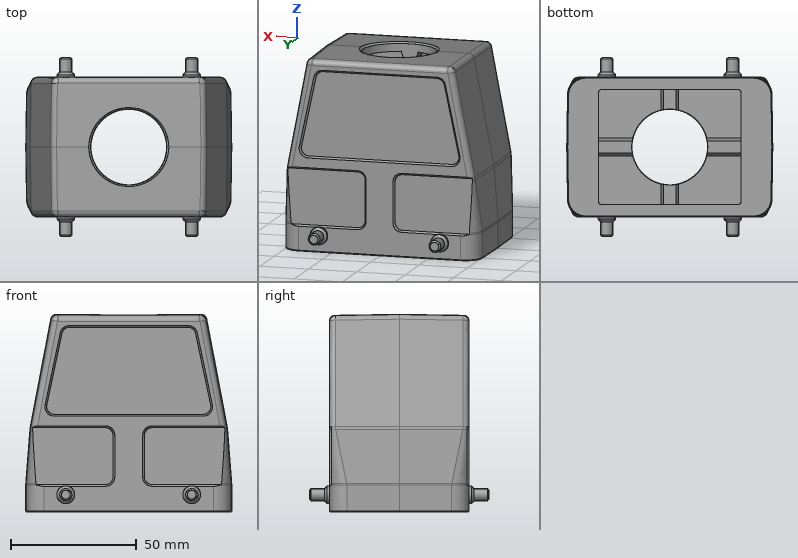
import cadquery as cq
import math

half_length = 40.9
half_width = 27.7
height = 78.4
base_height = 11.0
waist_height = 33.2
waist_half_length = 39.2
top_half_length = 30.6
draft = math.tan(math.radians(0.9))
base_corner_radius = 7.0
upper_corner_radius = 2.45
roof_edge_radius = 2.4
rim_chamfer = 0.4
waist_bevel_height = 1.3
shoulder_bevel_height = 0.65

cavity_half_length = 28.2
cavity_half_width = 22.8
cavity_corner_radius = 1.15
ceiling_height = 74.3
entry_diameter = 30.0
entry_chamfer = 0.9
rib_drop = 2.8
rib_top_width = 7.1
rib_bottom_width = 4.9

panel_depth = 0.8
panel_wall_angle = 40.0
panel_corner_radius = 3.0
window_bottom = 38.7
window_top = 73.2
window_bottom_half_length = 33.3
window_top_half_length = 26.0
side_panel_bottom = 10.8
side_panel_top = 33.4
side_panel_inner_end = 6.2

pin_spacing = 50.0
pin_height = 6.8
pin_tip = 35.6
pin_diameter = 4.8
pin_chamfer = 0.65
collar_diameter = 7.0
collar_length = 0.9
collar_cone_length = 1.1


def section(half_x, radius, z):
    """Closed outline at level z: flat long sides, drafted ends, rounded corners."""
    end_x = half_x - half_width * draft
    points = [
        (end_x, -half_width),
        (half_x, 0),
        (end_x, half_width),
        (-end_x, half_width),
        (-half_x, 0),
        (-end_x, -half_width),
    ]
    wire = cq.Wire.makePolygon([cq.Vector(x, y, z) for x, y in points], close=True)
    corners = [v for v in wire.Vertices() if abs(v.Y) > half_width / 2]
    return wire.fillet2D(radius, corners)


def between(lower, upper, z):
    """Station (half length, corner radius, z) on the straight line between two stations."""
    share = (z - lower[2]) / (upper[2] - lower[2])
    half_x = lower[0] + share * (upper[0] - lower[0])
    radius = lower[1] + share * (upper[1] - lower[1])
    return half_x, radius, z


def tier(lower, upper):
    """Straight-ruled solid between the outlines at two stations."""
    return cq.Workplane(obj=cq.Solid.makeLoft([section(*lower), section(*upper)], True))


def hood_body():
    rim = (half_length, base_corner_radius, 0)
    shoulder = (half_length, base_corner_radius, base_height)
    waist = (waist_half_length, upper_corner_radius, waist_height)
    top = (top_half_length, upper_corner_radius, height)
    stations = [
        rim,
        between(rim, shoulder, base_height - shoulder_bevel_height / 2),
        between(shoulder, waist, base_height + shoulder_bevel_height / 2),
        between(shoulder, waist, waist_height - waist_bevel_height / 2),
        between(waist, top, waist_height + waist_bevel_height / 2),
        top,
    ]
    body = tier(stations[0], stations[1]).faces("<Z").chamfer(rim_chamfer)
    for lower, upper in zip(stations[1:], stations[2:]):
        body = body.union(tier(lower, upper))
    return round_roof(body.intersect(roof_envelope()))


def roof_envelope():
    """Prism along X whose two roof planes fall from the parting plane to the long sides."""
    eave_height = height - half_width * draft
    outline = [
        (-half_width, 0),
        (half_width, 0),
        (half_width, eave_height),
        (0, height),
        (-half_width, eave_height),
    ]
    return cq.Workplane("YZ").polyline(outline).close().extrude(half_length, both=True)


def round_roof(body):
    """Round the roof perimeter, leaving the ridge between the two roof planes."""
    above_eaves = cq.selectors.BoxSelector(
        (-half_length, -half_width - 0.8, height - roof_edge_radius / 2),
        (half_length, half_width + 0.8, height + 0.8),
    )
    perimeter = [e for e in body.edges(above_eaves).vals() if not is_ridge(e)]
    return body.newObject(perimeter).fillet(roof_edge_radius)


def is_ridge(edge):
    """True for an edge that runs along X on the parting plane."""
    box = edge.BoundingBox()
    return max(abs(box.ymin), abs(box.ymax)) < half_width / 100


def cavity():
    return (
        cq.Workplane("XY")
        .rect(2 * cavity_half_length, 2 * cavity_half_width)
        .extrude(ceiling_height)
        .edges("|Z")
        .fillet(cavity_corner_radius)
    )


def entry_hole():
    """Cable entry with a conical lead-in at the roof."""
    radius = entry_diameter / 2
    lead_in_bottom = height - entry_chamfer
    overshoot = 0.8
    outline = [
        (0, 0),
        (radius, 0),
        (radius, lead_in_bottom),
        (radius + entry_chamfer + overshoot, height + overshoot),
        (0, height + overshoot),
    ]
    return cq.Workplane("XZ").polyline(outline).close().revolve(360, (0, 0), (0, 1))


def ceiling_ribs():
    """Two crossing trapezoid ribs below the ceiling, cut open later by the entry hole."""
    outline = [
        (-rib_top_width / 2, ceiling_height),
        (-rib_bottom_width / 2, ceiling_height - rib_drop),
        (rib_bottom_width / 2, ceiling_height - rib_drop),
        (rib_top_width / 2, ceiling_height),
    ]
    along_y = cq.Workplane("XZ").polyline(outline).close().extrude(cavity_half_width, both=True)
    along_x = cq.Workplane("YZ").polyline(outline).close().extrude(cavity_half_length, both=True)
    return along_y.union(along_x)


def panel_cutter(floor_outline):
    """Recess that widens from its floor to the long side at -Y."""
    floor = cq.Workplane("XZ", origin=(0, panel_depth - half_width, 0))
    sketch = cq.Sketch().polygon(floor_outline + floor_outline[:1])
    sketch = sketch.vertices().fillet(panel_corner_radius)
    return floor.placeSketch(sketch).extrude(panel_depth, taper=-panel_wall_angle)


def panel_cutters():
    window = panel_cutter([
        (-window_bottom_half_length, window_bottom),
        (window_bottom_half_length, window_bottom),
        (window_top_half_length, window_top),
        (-window_top_half_length, window_top),
    ])
    open_end = half_length + 2 * panel_corner_radius
    side_panel = panel_cutter([
        (side_panel_inner_end, side_panel_bottom),
        (open_end, side_panel_bottom),
        (open_end, side_panel_top),
        (side_panel_inner_end, side_panel_top),
    ])
    return [window, side_panel, side_panel.mirror("YZ")]


def pin():
    """Locking pin on the -Y side with a collar and a cone at its root."""
    radius = pin_diameter / 2
    collar_radius = collar_diameter / 2
    collar_end = half_width + collar_length
    outline = [
        (0, cavity_half_width),
        (radius, cavity_half_width),
        (radius, half_width - panel_depth),
        (collar_radius, half_width - panel_depth),
        (collar_radius, collar_end),
        (radius, collar_end + collar_cone_length),
        (radius, pin_tip - pin_chamfer),
        (radius - pin_chamfer, pin_tip),
        (0, pin_tip),
    ]
    outline = [(r, -distance) for r, distance in outline]
    upright = cq.Workplane("XY").polyline(outline).close().revolve(360, (0, 0), (0, 1))
    return upright.translate((0, 0, pin_height))


hood = hood_body()
for cutter in panel_cutters():
    hood = hood.cut(cutter).cut(cutter.mirror("XZ"))
hood = hood.cut(cavity()).union(ceiling_ribs()).cut(entry_hole())

for x in (-pin_spacing / 2, pin_spacing / 2):
    near_pin = pin().translate((x, 0, 0))
    hood = hood.union(near_pin).union(near_pin.mirror("XZ"))

result = hood